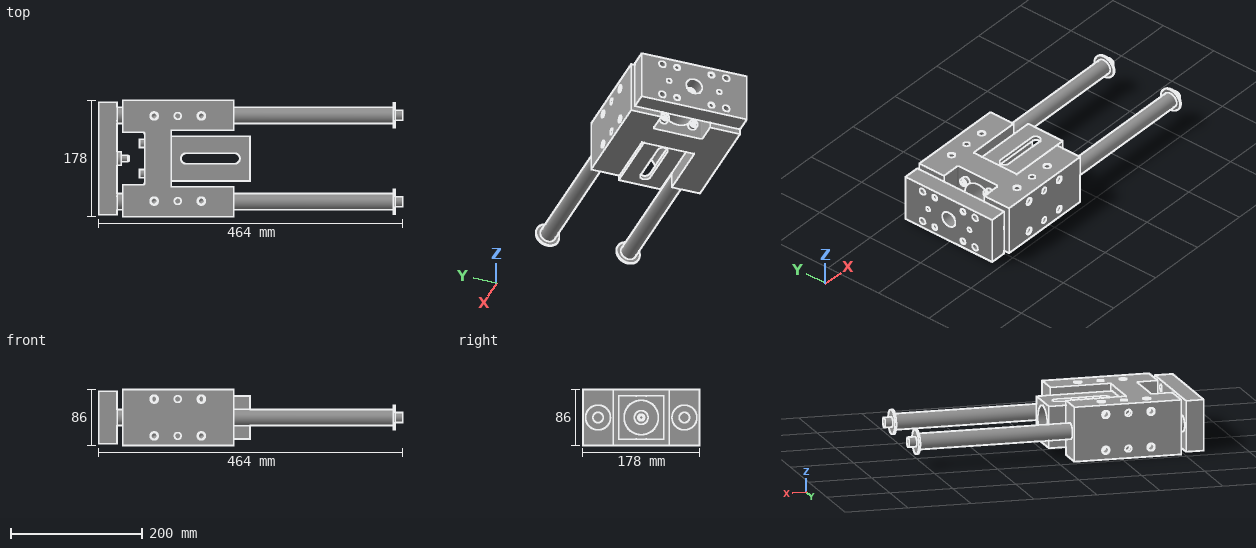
import cadquery as cq
import math

TOTAL_LENGTH = 464.0

HOUSING_START = 36.5
HOUSING_LENGTH = 170.0
HOUSING_WIDTH = 178.0
HOUSING_HEIGHT = 86.0
HOUSING_END = HOUSING_START + HOUSING_LENGTH
WALL_FRONT = 70.0
WALL_BACK = 111.0
FRONT_RECESS_WIDTH = 80.0
RECESS_CORNER_RADIUS = 3.0
REAR_RECESS_WIDTH = 86.0
CYLINDER_BORE_DIAMETER = 52.5

BLOCK_END = 231.0
BLOCK_WIDTH = 68.5
BLOCK_HEIGHT = 66.0
SLOT_START = 125.7
SLOT_END = 215.5
SLOT_WIDTH = 16.0

SCREW_SPACING = 46.5
SCREW_HEAD_DIAMETER = 13.0
SCREW_HEAD_HEIGHT = 8.0
SCREW_SOCKET_SIZE = 6.0
SCREW_SOCKET_DEPTH = 4.0

MOUNT_CENTRE_X = 120.5
MOUNT_SPACING_X = 72.0
MOUNT_TOP_SPACING_Y = 130.0
MOUNT_THREAD_DIAMETER = 12.0
MOUNT_CORE_DIAMETER = 10.0
MOUNT_DEPTH = 20.0
DOWEL_DIAMETER = 10.0
DOWEL_DEPTH = 10.0
DRILL_TIP_ANGLE = 118.0

PLATE_THICKNESS = 28.5
PLATE_WIDTH = 172.0
PLATE_HEIGHT = 80.5
HOLE_ROW_SPACING = 56.0
PLATE_CLEARANCE_DIAMETER = 11.0
PLATE_CLEARANCE_SPACING_Y = 104.5
PLATE_THREAD_DIAMETER = 10.0
PLATE_CORE_DIAMETER = 8.5
PLATE_THREAD_DEPTH = 20.0
PLATE_DOWEL_DIAMETER = 8.0
PLATE_DOWEL_SPACING_Y = 82.0
PLATE_DOWEL_DEPTH = 10.0
COUNTERBORE_DIAMETER = 26.0
COUNTERBORE_DEPTH = 24.5

BOLT_HEAD_DIAMETER = 18.0
BOLT_WASHER_DIAMETER = 22.5
BOLT_WASHER_THICKNESS = 2.0
BOLT_HEAD_HEIGHT = 7.5
BOLT_HEAD_ROUNDING = 4.0
BOLT_SOCKET_SIZE = 8.0
BOLT_SOCKET_DEPTH = 4.5
COLLAR_DIAMETER = 21.0
COLLAR_LENGTH = 6.5
STUD_DIAMETER = 10.0
STUD_LENGTH = 11.5
STUD_CHAMFER = 2.0

ROD_DIAMETER = 25.0
ROD_SPACING = 132.0
ROD_WASHER_DIAMETER = 38.0
ROD_WASHER_THICKNESS = 3.0
ROD_TIP_DIAMETER = 16.0
ROD_TIP_LENGTH = 11.5


def box_along_x(start, end, width, height):
    """Box from start to end in X, centred on the X axis."""
    return cq.Workplane("XY", origin=((start + end) / 2, 0, 0)).box(end - start, width, height)


def cylinder_along_x(start, end, diameter, y=0, z=0):
    return cq.Workplane("YZ", origin=(start, y, z)).circle(diameter / 2).extrude(end - start)


def hex_socket(start, depth, across_flats, y=0, z=0):
    across_corners = across_flats / math.cos(math.radians(30))
    return cq.Workplane("YZ", origin=(start, y, z)).polygon(6, across_corners).extrude(depth)


def grid_points(spacing_a, spacing_b):
    """Four corners of a rectangle centred on the origin."""
    return [(a * spacing_a / 2, b * spacing_b / 2) for a in (-1, 1) for b in (-1, 1)]


def blind_hole(point, direction, diameter, depth):
    """Flat-bottomed hole going from a surface point into the body."""
    return cq.Workplane(cq.Solid.makeCylinder(diameter / 2, depth, cq.Vector(*point), cq.Vector(*direction)))


def threaded_hole(point, direction, thread_diameter, core_diameter, depth):
    """Core hole with a 45 degree entry chamfer and a conical drill tip."""
    start = cq.Vector(*point)
    axis = cq.Vector(*direction)
    core_radius = core_diameter / 2
    chamfer = (thread_diameter - core_diameter) / 2
    tip_length = core_radius / math.tan(math.radians(DRILL_TIP_ANGLE / 2))
    hole = blind_hole(point, direction, core_diameter, depth)
    entry = cq.Solid.makeCone(thread_diameter / 2, core_radius, chamfer, start, axis)
    tip = cq.Solid.makeCone(core_radius, 0, tip_length, start + axis * depth, axis)
    return hole.union(cq.Workplane(entry)).union(cq.Workplane(tip))


def mounting_row(y, z, direction):
    """Two threaded holes with a dowel hole midway between them, in a row along X."""
    row = blind_hole((MOUNT_CENTRE_X, y, z), direction, DOWEL_DIAMETER, DOWEL_DEPTH)
    for side in (-1, 1):
        point = (MOUNT_CENTRE_X + side * MOUNT_SPACING_X / 2, y, z)
        row = row.union(
            threaded_hole(point, direction, MOUNT_THREAD_DIAMETER, MOUNT_CORE_DIAMETER, MOUNT_DEPTH)
        )
    return row


def slotted_block():
    """Block bored along X, with a slot through its top and bottom."""
    block = box_along_x(WALL_BACK, BLOCK_END, BLOCK_WIDTH, BLOCK_HEIGHT)
    slot = (
        cq.Workplane("XY")
        .center((SLOT_START + SLOT_END) / 2, 0)
        .slot2D(SLOT_END - SLOT_START, SLOT_WIDTH)
        .extrude(BLOCK_HEIGHT, both=True)
    )
    bore = cylinder_along_x(WALL_BACK, BLOCK_END, CYLINDER_BORE_DIAMETER)
    return block.cut(slot).cut(bore)


def cap_screw_head(y, z):
    face_x = WALL_FRONT - SCREW_HEAD_HEIGHT
    head = cylinder_along_x(face_x, WALL_FRONT, SCREW_HEAD_DIAMETER, y, z)
    return head.cut(hex_socket(face_x, SCREW_SOCKET_DEPTH, SCREW_SOCKET_SIZE, y, z))


def make_housing():
    housing = box_along_x(HOUSING_START, HOUSING_END, HOUSING_WIDTH, HOUSING_HEIGHT)

    front_recess = (
        box_along_x(HOUSING_START, WALL_FRONT, FRONT_RECESS_WIDTH, HOUSING_HEIGHT)
        .edges("|Z and >X")
        .fillet(RECESS_CORNER_RADIUS)
    )
    rear_recess = box_along_x(WALL_BACK, HOUSING_END, REAR_RECESS_WIDTH, HOUSING_HEIGHT)
    housing = housing.cut(front_recess).cut(rear_recess)
    housing = housing.cut(cylinder_along_x(WALL_FRONT, WALL_BACK, CYLINDER_BORE_DIAMETER))

    for side in (-1, 1):
        rod_y = side * ROD_SPACING / 2
        housing = housing.cut(cylinder_along_x(HOUSING_START, HOUSING_END, ROD_DIAMETER, rod_y))
        top_y = side * MOUNT_TOP_SPACING_Y / 2
        housing = housing.cut(mounting_row(top_y, HOUSING_HEIGHT / 2, (0, 0, -1)))
        for row in (-1, 1):
            row_z = row * HOLE_ROW_SPACING / 2
            housing = housing.cut(mounting_row(side * HOUSING_WIDTH / 2, row_z, (0, -side, 0)))

    housing = housing.union(slotted_block())
    for y, z in grid_points(SCREW_SPACING, SCREW_SPACING):
        housing = housing.union(cap_screw_head(y, z))
    return housing


def front_plate():
    plate = box_along_x(0, PLATE_THICKNESS, PLATE_WIDTH, PLATE_HEIGHT)
    plate = plate.cut(cylinder_along_x(0, COUNTERBORE_DEPTH, COUNTERBORE_DIAMETER))
    for y, z in grid_points(PLATE_CLEARANCE_SPACING_Y, HOLE_ROW_SPACING):
        plate = plate.cut(cylinder_along_x(0, PLATE_THICKNESS, PLATE_CLEARANCE_DIAMETER, y, z))
    for y, z in grid_points(HOLE_ROW_SPACING, HOLE_ROW_SPACING):
        point = (0, y, z)
        plate = plate.cut(
            threaded_hole(point, (1, 0, 0), PLATE_THREAD_DIAMETER, PLATE_CORE_DIAMETER, PLATE_THREAD_DEPTH)
        )
    for side in (-1, 1):
        point = (0, side * PLATE_DOWEL_SPACING_Y / 2, 0)
        plate = plate.cut(blind_hole(point, (1, 0, 0), PLATE_DOWEL_DIAMETER, PLATE_DOWEL_DEPTH))
    return plate


def coupling_bolt():
    """Washer and socket head inside the counterbore, collar and stud behind the plate."""
    washer_x = COUNTERBORE_DEPTH - BOLT_WASHER_THICKNESS
    head_x = washer_x - BOLT_HEAD_HEIGHT
    collar_end = PLATE_THICKNESS + COLLAR_LENGTH
    washer = cylinder_along_x(washer_x, COUNTERBORE_DEPTH, BOLT_WASHER_DIAMETER)
    head = cylinder_along_x(head_x, washer_x, BOLT_HEAD_DIAMETER).faces("<X").fillet(BOLT_HEAD_ROUNDING)
    head = head.cut(hex_socket(head_x, BOLT_SOCKET_DEPTH, BOLT_SOCKET_SIZE))
    collar = cylinder_along_x(PLATE_THICKNESS, collar_end, COLLAR_DIAMETER)
    stud = cylinder_along_x(collar_end, collar_end + STUD_LENGTH, STUD_DIAMETER)
    stud = stud.faces(">X").chamfer(STUD_CHAMFER)
    return washer, head, collar, stud


def guide_rod(y):
    tip_start = TOTAL_LENGTH - ROD_TIP_LENGTH
    rod_end = tip_start - ROD_WASHER_THICKNESS
    rod = cylinder_along_x(PLATE_THICKNESS, rod_end, ROD_DIAMETER, y)
    washer = cylinder_along_x(rod_end, tip_start, ROD_WASHER_DIAMETER, y)
    tip = cylinder_along_x(tip_start, TOTAL_LENGTH, ROD_TIP_DIAMETER, y)
    return rod.union(washer).union(tip)


def make_slide():
    slide = front_plate()
    for piece in coupling_bolt():
        slide = slide.union(piece)
    for side in (-1, 1):
        slide = slide.union(guide_rod(side * ROD_SPACING / 2))
    return slide


housing = make_housing()
slide = make_slide()

result = cq.Compound.makeCompound([housing.solids().val(), slide.solids().val()])